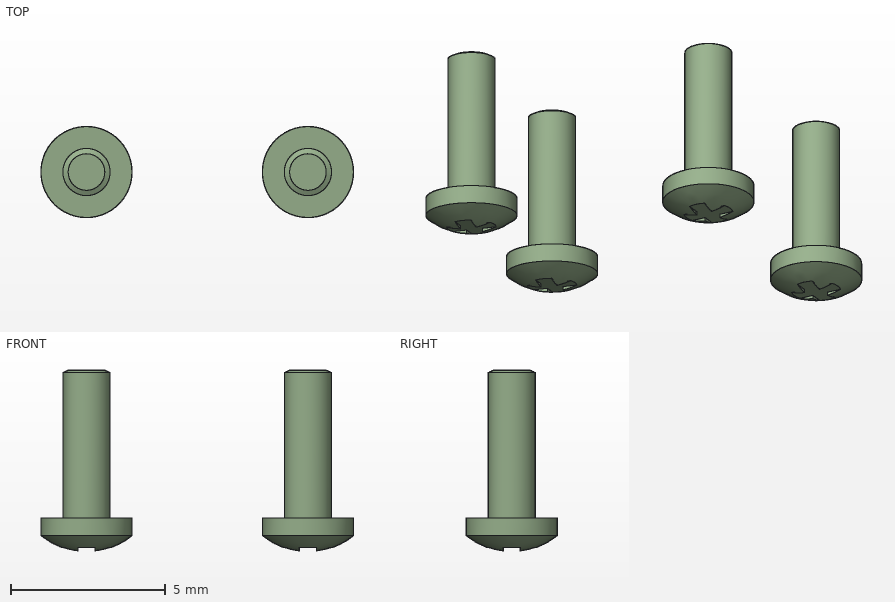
import cadquery as cq

overall_length = 10.11
head_diameter = 2.95
rim_height = 0.58
dome_height = 0.53
shank_diameter = 1.53
shank_length = 4.77
tip_diameter = 1.18
tip_chamfer_height = 0.08
slot_width = 0.55
slot_depth = 0.14

head_radius = head_diameter / 2
shank_radius = shank_diameter / 2
tip_radius = tip_diameter / 2
screw_spacing = overall_length - head_diameter
head_bottom = -(rim_height + dome_height)
sphere_radius = (head_radius**2 + dome_height**2) / (2 * dome_height)
dome_mid_radius = head_radius / 2
dome_mid_z = head_bottom + sphere_radius - (sphere_radius**2 - dome_mid_radius**2) ** 0.5


def screw_blank():
    """Revolve the half profile: domed head, cylindrical shank and chamfered tip."""
    return (
        cq.Workplane("XZ")
        .moveTo(0, head_bottom)
        .threePointArc((dome_mid_radius, dome_mid_z), (head_radius, -rim_height))
        .lineTo(head_radius, 0)
        .lineTo(shank_radius, 0)
        .lineTo(shank_radius, shank_length - tip_chamfer_height)
        .lineTo(tip_radius, shank_length)
        .lineTo(0, shank_length)
        .close()
        .revolve(360, (0, 0, 0), (0, 1, 0))
    )


def cross_slots():
    """Two crossing slots that run out through the crown of the dome."""
    along_x = (
        cq.Workplane("XY")
        .workplane(offset=head_bottom)
        .rect(head_diameter, slot_width)
        .extrude(slot_depth)
    )
    along_y = along_x.rotate((0, 0, 0), (0, 0, 1), 90)
    return along_x.union(along_y)


def make_screw(x):
    """One complete screw with its axis at the given X."""
    return screw_blank().cut(cross_slots()).translate((x, 0, 0))


screws = [make_screw(side * screw_spacing / 2) for side in (-1, 1)]

result = cq.Compound.makeCompound([screw.solids().val() for screw in screws])